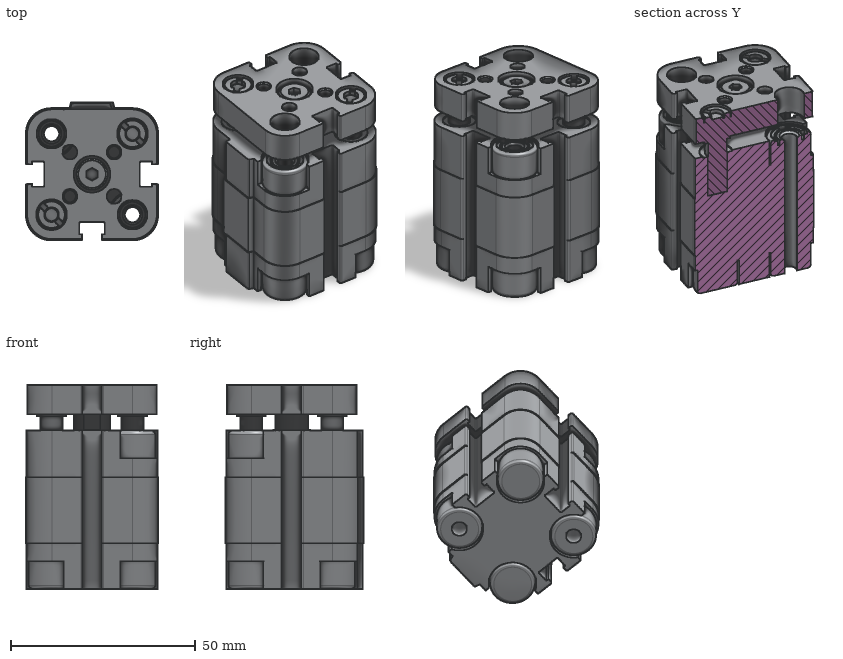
import cadquery as cq
import math

hole_offset = 11.0

barrel_width = 36.0
cap_width = 35.6
housing_height = 43.1
barrel_bottom = 12.4
barrel_height = 18.0
barrel_top = barrel_bottom + barrel_height

plate_width = 35.2
plate_thickness = 8.0
overall_height = 55.5
plate_bottom = overall_height - plate_thickness

slot_floor = 13.0
slot_inner_width = 6.8
slot_lip_start = 16.3
slot_mouth_width = 5.3
slot_floor_fillet = 0.3
slot_mouth_fillet = 0.45

barrel_rail_face = 19.5
barrel_rail_half_width = 5.7
cap_rail_face = 19.3
cap_rail_left = -5.5
cap_rail_right = 4.9
cap_rail_bevel_width = 0.2
cap_rail_bevel_depth = 0.6
rail_flank_run = 0.85

mount_diameter = 12.3
mount_clearance_diameter = 13.0
mount_height = 7.6
mount_fillet = 1.0
mount_clearing = 7.72
mount_recess_diameter = 10.0
mount_recess_depth = 0.5
screw_face_diameter = 7.0
groove_diameter = 8.1
groove_depth = 1.5
driver_slot_width = 2.0
screw_bore_diameter = 4.13
countersink_diameter = 5.4

rod_diameter = 10.0
rod_flats = 9.0
rod_round_length = 0.2
guide_diameter = 6.0
guide_seal_diameter = 9.0
guide_seal_depth = 0.3
rod_bottom = barrel_top

access_hole_diameter = 8.0
thread_hole_diameter = 4.0
thread_core_diameter = 3.24
thread_hole_offset = 6.0

rod_pocket_diameter = 10.0
rod_pocket_depth = 4.0
rod_screw_diameter = 8.5
rod_screw_gap = 0.7
rod_screw_chamfer = 0.5
hex_across_flats = 3.0
hex_depth = 2.0

guide_pocket_diameter = 8.4
guide_pocket_depth = 1.8
guide_screw_diameter = 8.0
guide_screw_face_diameter = 7.2
guide_screw_gap = 0.3
guide_screw_slot_width = 1.5
guide_screw_slot_depth = 1.4
guide_screw_slot_angle = -45.0
guide_screw_bore = 4.0
guide_screw_bore_depth = 1.4
guide_stud_height = 0.4
guide_stud_chamfer = 0.25
guide_foot_height = 0.6

guide_points = [(-hole_offset, -hole_offset), (hole_offset, hole_offset)]
mount_points = [(-hole_offset, hole_offset), (hole_offset, -hole_offset)]
thread_chamfered_points = [
    (-thread_hole_offset, -thread_hole_offset),
    (thread_hole_offset, thread_hole_offset),
]
thread_plain_points = [
    (-thread_hole_offset, thread_hole_offset),
    (thread_hole_offset, -thread_hole_offset),
]


def cylinder(diameter, bottom, height, point=(0, 0)):
    return cq.Workplane("XY").workplane(offset=bottom).center(*point).circle(diameter / 2).extrude(height)


def slot_cutter(outer_face, bottom, height):
    """Undercut slot open toward -Y; the outer mouth edges are rounded."""
    cavity = (
        cq.Workplane("XY", origin=(0, -(slot_floor + slot_lip_start) / 2, bottom))
        .rect(slot_inner_width, slot_lip_start - slot_floor)
        .extrude(height)
        .edges("|Z and >Y")
        .fillet(slot_floor_fillet)
    )
    half_mouth = slot_mouth_width / 2
    flare = half_mouth + slot_mouth_fillet
    straight_end = -outer_face + slot_mouth_fillet
    mouth = (
        cq.Workplane("XY", origin=(0, 0, bottom))
        .moveTo(-half_mouth, -slot_lip_start)
        .lineTo(-half_mouth, straight_end)
        .radiusArc((-flare, -outer_face), slot_mouth_fillet)
        .lineTo(flare, -outer_face)
        .radiusArc((half_mouth, straight_end), slot_mouth_fillet)
        .lineTo(half_mouth, -slot_lip_start)
        .close()
        .extrude(height)
    )
    return cavity.union(mouth)


def slotted_block(width, bottom, height):
    """Square block with rounded corners around the corner holes and three slots."""
    block = (
        cq.Workplane("XY")
        .workplane(offset=bottom)
        .rect(width, width)
        .extrude(height)
        .edges("|Z")
        .fillet(width / 2 - hole_offset)
    )
    slot = slot_cutter(width / 2, bottom, height)
    for angle in (-90, 0, 90):
        block = block.cut(slot.rotate((0, 0, 0), (0, 0, 1), angle))
    return block


def rail(left, right, face, bottom, height):
    return (
        cq.Workplane("XY")
        .workplane(offset=bottom)
        .polyline(
            [
                (left, face),
                (right, face),
                (right + rail_flank_run, slot_lip_start),
                (left - rail_flank_run, slot_lip_start),
            ]
        )
        .close()
        .extrude(height)
    )


def round_mount(housing, point, at_top):
    """Turn one corner of an end cap into a round mount with a rounded rim."""
    bottom = housing_height - mount_height if at_top else 0
    reach = barrel_width / 2 - mount_clearing
    middle = mount_clearing + reach / 2
    clearing = (
        cq.Workplane("XY")
        .workplane(offset=bottom)
        .center(math.copysign(middle, point[0]), math.copysign(middle, point[1]))
        .rect(reach, reach)
        .extrude(mount_height)
        .union(cylinder(mount_clearance_diameter, bottom, mount_height, point))
    )
    rim = ">Z" if at_top else "<Z"
    mount = cylinder(mount_diameter, bottom, mount_height, point).faces(rim).edges().fillet(mount_fillet)
    return housing.cut(clearing).union(mount)


def mount_screw_cut(point):
    """Recess, ring groove with four driver slots, and countersink in an upper mount."""
    face = housing_height - mount_recess_depth
    groove_bottom = face - groove_depth
    ring = cylinder(groove_diameter, groove_bottom, groove_depth, point)
    for size in [
        (mount_recess_diameter, driver_slot_width),
        (driver_slot_width, mount_recess_diameter),
    ]:
        slot = cq.Workplane("XY").workplane(offset=groove_bottom).center(*point).rect(*size)
        slot = slot.extrude(groove_depth)
        ring = ring.union(slot)
    ring = ring.intersect(cylinder(mount_recess_diameter, groove_bottom, groove_depth, point))
    ring = ring.cut(cylinder(screw_face_diameter, groove_bottom, groove_depth, point))

    countersink_depth = (countersink_diameter - screw_bore_diameter) / 2
    countersink = cq.Workplane(
        cq.Solid.makeCone(
            screw_bore_diameter / 2,
            countersink_diameter / 2,
            countersink_depth,
            cq.Vector(*point, face - countersink_depth),
        )
    )
    return (
        cylinder(mount_recess_diameter, face, mount_recess_depth, point)
        .union(ring)
        .union(countersink)
    )


def make_housing():
    body = slotted_block(cap_width, 0, housing_height)
    body = body.union(slotted_block(barrel_width, barrel_bottom, barrel_height))
    cap_rail = rail(cap_rail_left, cap_rail_right, cap_rail_face, 0, housing_height)
    left_edge = cap_rail.edges("|Z").edges(">Y").edges("<X")
    cap_rail = left_edge.chamfer(cap_rail_bevel_depth, cap_rail_bevel_width)
    body = body.union(cap_rail)
    body = body.union(
        rail(-barrel_rail_half_width, barrel_rail_half_width, barrel_rail_face, barrel_bottom, barrel_height)
    )

    for point in guide_points + mount_points:
        body = round_mount(body, point, at_top=False)
    for point in mount_points:
        body = round_mount(body, point, at_top=True)
        body = body.cut(mount_screw_cut(point))
        body = body.cut(cylinder(screw_bore_diameter, 0, housing_height, point))

    rod_depth = housing_height - rod_bottom
    body = body.cut(cylinder(rod_diameter, rod_bottom, rod_depth))
    for point in guide_points:
        body = body.cut(cylinder(guide_diameter, rod_bottom, rod_depth, point))
        body = body.cut(
            cylinder(guide_seal_diameter, housing_height - guide_seal_depth, guide_seal_depth, point)
        )
    return body


def piston_rod():
    flat_bottom = housing_height + rod_round_length
    flat_height = plate_bottom - flat_bottom
    flats = cq.Workplane("XY").workplane(offset=flat_bottom).rect(rod_diameter, rod_flats)
    flats = flats.extrude(flat_height)
    flatted = cylinder(rod_diameter, flat_bottom, flat_height).intersect(flats)
    return cylinder(rod_diameter, rod_bottom, flat_bottom - rod_bottom).union(flatted)


def rod_screw():
    floor = overall_height - rod_pocket_depth
    face = overall_height - rod_screw_gap
    screw = cylinder(rod_screw_diameter, floor, face - floor).faces(">Z").chamfer(rod_screw_chamfer)
    socket = (
        cq.Workplane("XY")
        .workplane(offset=face - hex_depth)
        .polygon(6, hex_across_flats, circumscribed=True)
        .extrude(hex_depth)
    )
    return screw, socket


def guide_screw(point):
    """Slotted screw with a chamfered head; the stud end shows in its bore."""
    floor = overall_height - guide_pocket_depth
    face = overall_height - guide_screw_gap
    chamfer = (guide_screw_diameter - guide_screw_face_diameter) / 2
    slot = (
        cq.Workplane("XY")
        .workplane(offset=face - guide_screw_slot_depth)
        .center(*point)
        .transformed(rotate=(0, 0, guide_screw_slot_angle))
        .rect(guide_screw_diameter, guide_screw_slot_width)
        .extrude(guide_screw_slot_depth)
    )
    stud_bottom = face - guide_screw_bore_depth
    stud = cylinder(guide_screw_bore, stud_bottom, guide_stud_height, point)
    stud = stud.faces(">Z").chamfer(guide_stud_chamfer)
    return (
        cylinder(guide_screw_diameter, floor, face - floor, point)
        .faces(">Z")
        .chamfer(chamfer)
        .cut(slot)
        .cut(cylinder(guide_screw_bore, stud_bottom, guide_screw_bore_depth, point))
        .union(stud)
    )


def make_plate():
    plate = slotted_block(plate_width, plate_bottom, plate_thickness)
    for point in mount_points:
        plate = plate.cut(cylinder(access_hole_diameter, plate_bottom, plate_thickness, point))
    for point in thread_plain_points:
        plate = plate.cut(cylinder(thread_hole_diameter, plate_bottom, plate_thickness, point))
    chamfer = (thread_hole_diameter - thread_core_diameter) / 2
    for point in thread_chamfered_points:
        plate = plate.cut(cylinder(thread_core_diameter, plate_bottom, plate_thickness, point))
        entry = cq.Solid.makeCone(
            thread_core_diameter / 2,
            thread_hole_diameter / 2,
            chamfer,
            cq.Vector(*point, overall_height - chamfer),
        )
        plate = plate.cut(cq.Workplane(entry))

    screw, socket = rod_screw()
    pocket_floor = overall_height - rod_pocket_depth
    plate = plate.cut(cylinder(rod_pocket_diameter, pocket_floor, rod_pocket_depth))
    plate = plate.union(screw).cut(socket).union(piston_rod())

    guide_floor = overall_height - guide_pocket_depth
    foot_bottom = plate_bottom - guide_foot_height
    for point in guide_points:
        plate = plate.cut(cylinder(guide_pocket_diameter, guide_floor, guide_pocket_depth, point))
        plate = plate.union(guide_screw(point))
        plate = plate.union(cylinder(guide_screw_diameter, foot_bottom, guide_foot_height, point))
        plate = plate.union(cylinder(guide_diameter, rod_bottom, plate_bottom - rod_bottom, point))
    return plate


housing = make_housing()
plate = make_plate()
result = cq.Compound.makeCompound([housing.val(), plate.val()])